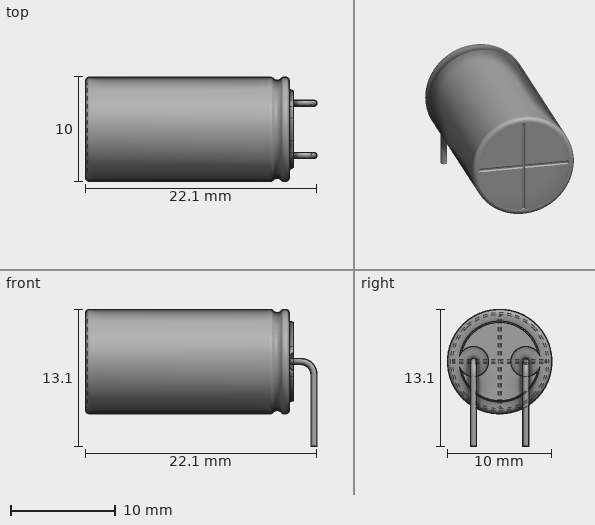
import cadquery as cq

OVERALL_LENGTH = 22.1
OVERALL_HEIGHT = 13.1

CAN_RADIUS = 5.0
EDGE_FILLET = 0.42
BODY_END = 17.62
GROOVE_START = 17.86
GROOVE_END = 18.75
GROOVE_EDGE_DROP = 0.09
GROOVE_DEPTH = 0.3
RIM_FLAT_START = 18.95
RIM_FLAT_END = 19.05
CAN_END = 19.48
SHOULDER_BULGE = 0.02

RECESS_RADIUS = 9.0 / 2
RECESS_DEPTH = 0.07
SCORE_LENGTH = 8.85
SCORE_WIDTH = 0.35
SCORE_DEPTH = 0.1
SCORE_DRAFT = 45

SEAL_END = 19.88
SEAL_BASE_RADIUS = 3.87
SEAL_TIP_RADIUS = 3.74
POCKET_RADIUS = 1.44

LEAD_DIAMETER = 0.6
LEAD_SPACING = 5.0
BEND_RADIUS = 1.22
LEAD_BOTTOM = CAN_RADIUS - OVERALL_HEIGHT


def make_can():
    """Revolve the can, its crimp groove, rolled rim and seal about X."""
    groove_edge = CAN_RADIUS - GROOVE_EDGE_DROP
    groove_middle = (GROOVE_START + GROOVE_END) / 2
    rim_fillet = CAN_END - RIM_FLAT_END
    shoulder_radius = CAN_RADIUS - GROOVE_EDGE_DROP / 2 + SHOULDER_BULGE
    profile = (
        cq.Workplane("XY")
        .moveTo(0, 0)
        .lineTo(0, CAN_RADIUS - EDGE_FILLET)
        .radiusArc((EDGE_FILLET, CAN_RADIUS), EDGE_FILLET)
        .lineTo(BODY_END, CAN_RADIUS)
        .threePointArc(((BODY_END + GROOVE_START) / 2, shoulder_radius), (GROOVE_START, groove_edge))
        .threePointArc((groove_middle, CAN_RADIUS - GROOVE_DEPTH), (GROOVE_END, groove_edge))
        .threePointArc(((GROOVE_END + RIM_FLAT_START) / 2, shoulder_radius), (RIM_FLAT_START, CAN_RADIUS))
        .lineTo(RIM_FLAT_END, CAN_RADIUS)
        .radiusArc((CAN_END, CAN_RADIUS - rim_fillet), rim_fillet)
        .lineTo(CAN_END, SEAL_BASE_RADIUS)
        .lineTo(SEAL_END, SEAL_TIP_RADIUS)
        .lineTo(SEAL_END, 0)
        .close()
    )
    return profile.revolve(360, (0, 0, 0), (1, 0, 0))


def make_end_cut():
    """Shallow round recess plus two crossing grooves with sloped walls."""
    cut = cq.Workplane("YZ").circle(RECESS_RADIUS).extrude(RECESS_DEPTH)
    for width, height in ((SCORE_LENGTH, SCORE_WIDTH), (SCORE_WIDTH, SCORE_LENGTH)):
        groove = (
            cq.Workplane("YZ", origin=(RECESS_DEPTH, 0, 0))
            .rect(width, height)
            .extrude(SCORE_DEPTH, taper=SCORE_DRAFT)
        )
        cut = cut.union(groove)
    return cut


def make_seal_pocket(y):
    """Round pocket about a lead, as deep as the seal and open at its edge."""
    return (
        cq.Workplane("YZ", origin=(CAN_END, y, 0))
        .circle(POCKET_RADIUS)
        .extrude(SEAL_END - CAN_END)
    )


def make_lead(y):
    """Round wire leaving the can along X and bending down to -Z."""
    drop_x = OVERALL_LENGTH - LEAD_DIAMETER / 2
    start_x = RIM_FLAT_END
    path = (
        cq.Workplane("XZ", origin=(0, y, 0))
        .moveTo(start_x, 0)
        .lineTo(drop_x - BEND_RADIUS, 0)
        .tangentArcPoint((drop_x, -BEND_RADIUS), relative=False)
        .lineTo(drop_x, LEAD_BOTTOM)
    )
    return cq.Workplane("YZ", origin=(start_x, y, 0)).circle(LEAD_DIAMETER / 2).sweep(path)


result = make_can().cut(make_end_cut())
for side in (-1, 1):
    lead_y = side * LEAD_SPACING / 2
    result = result.cut(make_seal_pocket(lead_y)).union(make_lead(lead_y))